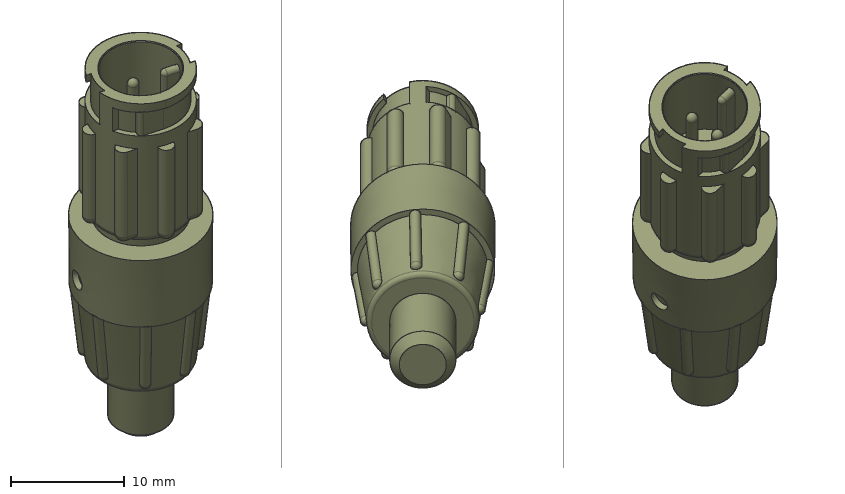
import cadquery as cq
import math

height = 40.5
shoulder_z = 36.82
grip_rib_top_z = 35.35
grip_rib_round_z = 25.6
grip_bottom_z = 24.65
collar_top_z = 23.75
collar_bottom_z = 16.1
boot_rib_end_z = 8.55
boot_bottom_z = 7.35
boot_rounding = 0.45

body_radius = 4.9
neck_radius = 4.35
collar_top_radius = 6.35
collar_bottom_radius = 6.3
boot_top_radius = 5.75
boot_end_radius = 4.95
cable_radius = 2.9
cable_chamfer = 0.85

bore_radius = 3.7
bore_depth = 8.1
bore_chamfer = 0.1
pin_spacing = 2.9
pin_radius = 0.53
pin_tip_z = 38.15
key_radius = 0.45
key_tip_z = 39.45
key_inner_y = 2.0

groove_radius = 4.4
entry_width = 2.6
groove_end_x = 2.65
groove_roof_entry_z = 39.75
groove_roof_end_z = 39.45
catch_length = 2.4
catch_rounding = 0.4

rib_count = 8
grip_rib_radius = 0.75
boot_rib_radius = 0.505
hole_radius = 0.95
hole_z = 18.6
hole_depth = 0.65

cut_margin = 0.4


def rod(start, end, radius):
    """Round rod between two points."""
    axis = cq.Vector(*end) - cq.Vector(*start)
    return cq.Workplane(cq.Solid.makeCylinder(radius, axis.Length, cq.Vector(*start), axis))


def ball(center, radius):
    return cq.Workplane("XY").sphere(radius).translate(center)


def turned_shape():
    """Cable, boot, collar, neck and grip as one revolved outline."""
    rounding = body_radius - neck_radius
    mid_arc = math.sqrt(0.5)
    return (
        cq.Workplane("XZ")
        .moveTo(0, 0)
        .lineTo(cable_radius - cable_chamfer, 0)
        .lineTo(cable_radius, cable_chamfer)
        .lineTo(cable_radius, boot_bottom_z)
        .lineTo(boot_end_radius - boot_rounding, boot_bottom_z)
        .threePointArc(
            (
                boot_end_radius - boot_rounding * (1 - mid_arc),
                boot_bottom_z + boot_rounding * (1 - mid_arc),
            ),
            (boot_end_radius, boot_bottom_z + boot_rounding),
        )
        .lineTo(boot_top_radius, collar_bottom_z)
        .lineTo(collar_bottom_radius, collar_bottom_z)
        .lineTo(collar_top_radius, collar_top_z)
        .lineTo(neck_radius, collar_top_z)
        .lineTo(neck_radius, grip_bottom_z)
        .threePointArc(
            (neck_radius + rounding * mid_arc, grip_bottom_z + rounding * (1 - mid_arc)),
            (body_radius, grip_bottom_z + rounding),
        )
        .lineTo(body_radius, height)
        .lineTo(0, height)
        .close()
        .revolve(360, (0, 0), (0, 1))
    )


def grip_rib(angle, has_flank):
    """Round rib centred on the body surface, with a ball-shaped lower end.

    A rib with a flank has a flat outer side parallel to Y, reaching back into the body.
    """
    x = body_radius * math.cos(angle)
    y = body_radius * math.sin(angle)
    bottom = (x, y, grip_rib_round_z)
    rib = rod(bottom, (x, y, grip_rib_top_z), grip_rib_radius).union(ball(bottom, grip_rib_radius))
    if has_flank:
        flank_y = y / 2
        flank = (
            cq.Workplane("XY")
            .box(2 * grip_rib_radius, abs(y - flank_y), grip_rib_top_z - grip_rib_round_z)
            .translate((x, (y + flank_y) / 2, (grip_rib_top_z + grip_rib_round_z) / 2))
        )
        rounded_end = rod(bottom, (x, flank_y, grip_rib_round_z), grip_rib_radius)
        rib = rib.union(flank).union(rounded_end)
    return rib


def boot_rib(angle):
    """Round rib lying along the slope of the boot."""
    slope = (boot_top_radius - boot_end_radius) / (collar_bottom_z - boot_bottom_z - boot_rounding)

    def point_on_boot(z):
        radius = boot_top_radius + slope * (z - collar_bottom_z)
        return (radius * math.cos(angle), radius * math.sin(angle), z)

    bottom = point_on_boot(boot_rib_end_z)
    top = point_on_boot(collar_bottom_z + boot_rib_radius)
    return rod(bottom, top, boot_rib_radius).union(ball(bottom, boot_rib_radius))


def bayonet_groove():
    """Material removed for the groove that starts at -Y and runs round the -X side."""
    reach = body_radius + cut_margin
    half_entry = entry_width / 2
    groove_height = height - shoulder_z
    catch = (
        cq.Workplane("XY")
        .workplane(offset=shoulder_z)
        .rect(-groove_radius, catch_length, centered=False)
        .extrude(groove_height)
        .edges("|Z")
        .edges("<X")
        .edges(">Y")
        .fillet(catch_rounding)
    )
    core = cq.Workplane("XY").workplane(offset=shoulder_z).circle(groove_radius).extrude(groove_height)
    track = (
        cq.Workplane("XY")
        .workplane(offset=shoulder_z)
        .polyline(
            [
                (half_entry, -reach),
                (half_entry, 0),
                (-groove_end_x, 0),
                (-groove_end_x, reach),
                (-reach, reach),
                (-reach, -reach),
            ]
        )
        .close()
        .extrude(groove_height)
    )
    under_roof = (
        cq.Workplane("YZ")
        .polyline(
            [
                (-reach, shoulder_z),
                (reach, shoulder_z),
                (reach, groove_roof_end_z),
                (-reach, groove_roof_entry_z),
            ]
        )
        .close()
        .extrude(reach, both=True)
    )
    entry = (
        cq.Workplane("XY")
        .box(entry_width, reach, groove_height)
        .translate((0, -reach / 2, shoulder_z + groove_height / 2))
    )
    return track.intersect(under_roof).union(entry).cut(core).cut(catch)


def socket():
    """Bore in the top with a small chamfer at its mouth."""
    bore = cq.Workplane("XY").workplane(offset=height).circle(bore_radius).extrude(-bore_depth)
    mouth = cq.Workplane(
        cq.Solid.makeCone(
            bore_radius,
            bore_radius + bore_chamfer,
            bore_chamfer,
            cq.Vector(0, 0, height - bore_chamfer),
        )
    )
    return bore.union(mouth)


def pin(x):
    """Contact pin with a domed tip, standing on the socket floor."""
    dome_z = pin_tip_z - pin_radius
    floor_z = height - bore_depth
    return rod((x, 0, floor_z), (x, 0, dome_z), pin_radius).union(ball((x, 0, dome_z), pin_radius))


def key():
    """Upright key on the +Y side of the socket, rounded on top and at its inner end."""
    inner_y = key_inner_y + key_radius
    wall_y = (bore_radius + groove_radius) / 2
    top_z = key_tip_z - key_radius
    floor_z = height - bore_depth
    web = (
        cq.Workplane("XY")
        .box(2 * key_radius, wall_y - inner_y, top_z - floor_z)
        .translate((0, (wall_y + inner_y) / 2, (top_z + floor_z) / 2))
    )
    return (
        web.union(rod((0, inner_y, floor_z), (0, inner_y, top_z), key_radius))
        .union(rod((0, inner_y, top_z), (0, wall_y, top_z), key_radius))
        .union(ball((0, inner_y, top_z), key_radius))
    )


result = turned_shape()

rib_step = 2 * math.pi / rib_count
for index in range(rib_count):
    is_diagonal = index % 2 == 1
    result = result.union(grip_rib(index * rib_step, is_diagonal))
    result = result.union(boot_rib((index + 0.5) * rib_step))

for turn in (0, 180):
    result = result.cut(bayonet_groove().rotate((0, 0, 0), (0, 0, 1), turn))

result = result.cut(socket())
for pin_x in (-pin_spacing / 2, pin_spacing / 2):
    result = result.union(pin(pin_x))
result = result.union(key())

hole_floor_y = hole_depth - collar_top_radius
collar_hole = rod((0, -collar_top_radius - cut_margin, hole_z), (0, hole_floor_y, hole_z), hole_radius)
result = result.cut(collar_hole)